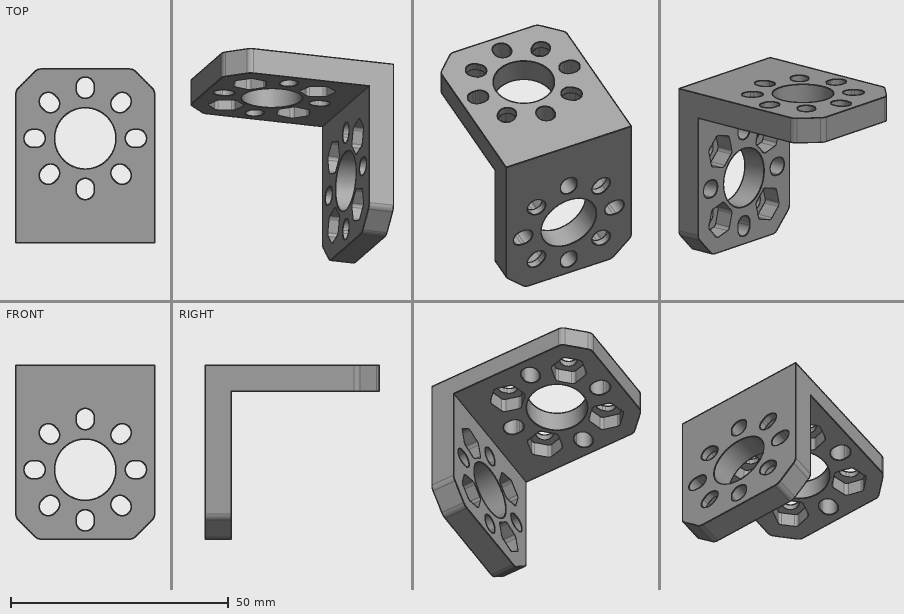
import cadquery as cq
import math

width = 32.0
leg_length = 40.0
thickness = 6.0
edge_break = 0.1

corner_cut = 5.0
corner_radius = 2.0

bore_diameter = 14.0
bore_edge_distance = width / 2
slot_circle_radius = 11.65
slot_count = 8
slot_spacing = 360 / slot_count
slot_width = 4.1
slot_length = 4.8

nut_across_flats = 7.4
half_side_angle = 30
nut_corner_diameter = nut_across_flats / math.cos(math.radians(half_side_angle))
nut_corner_radius = 1.0
nut_pocket_depth = 4.2

bore_y = leg_length - bore_edge_distance
hole_base = cq.Workplane("XY", origin=(0, bore_y, -thickness))


def leg_blank():
    """Plate with two clipped corners at the free end, rounded where the cuts meet the sides."""
    half_width = width / 2
    end_half_width = half_width - corner_cut
    straight_length = leg_length - corner_cut
    corners = [
        (-half_width, 0),
        (half_width, 0),
        (half_width, straight_length),
        (end_half_width, leg_length),
        (-end_half_width, leg_length),
        (-half_width, straight_length),
    ]
    base = cq.Workplane("XY", origin=(0, 0, -thickness))
    blank = base.polyline(corners).close().extrude(thickness)
    return blank.edges("|Z and (not <Y)").fillet(corner_radius)


def leg_openings():
    """Bore and ring of radially aligned through slots."""
    bore = hole_base.circle(bore_diameter / 2).extrude(thickness)
    slots = hole_base.polarArray(slot_circle_radius, 0, 360, slot_count).slot2D(slot_length, slot_width)
    return bore.union(slots.extrude(thickness))


def nut_pockets():
    """Round-cornered hexagons on the diagonals, two flats of each square to the radial direction."""
    hexagon = hole_base.polygon(6, nut_corner_diameter).extrude(nut_pocket_depth)
    nut = hexagon.edges("|Z").fillet(nut_corner_radius)
    bore_axis = ((0, bore_y, 0), (0, bore_y, 1))
    radial_nut = nut.rotate(*bore_axis, half_side_angle).translate((slot_circle_radius, 0, 0))
    return [radial_nut.rotate(*bore_axis, index * slot_spacing) for index in range(1, slot_count, 2)]


def as_upright_leg(shape):
    """Swap the +Y run for a -Z run, so the outer face turns from +Z to -Y."""
    return shape.rotate((0, 0, 0), (1, 0, 0), -90).mirror("XZ")


leg = leg_blank().cut(leg_openings())
bracket = leg.union(as_upright_leg(leg))

inside_corner = cq.selectors.NearestToPointSelector((0, thickness, -thickness))
not_inside_corner = cq.selectors.InverseSelector(inside_corner)
outer_rims = bracket.faces(">Z or <Y").edges()
flat_inner_rims = bracket.faces("|Z").faces(">Z[-2]").edges(not_inside_corner)
upright_inner_rims = bracket.faces("|Y").faces("<Y[-2]").edges(not_inside_corner)
bracket = outer_rims.add(flat_inner_rims).add(upright_inner_rims).chamfer(edge_break)

for pocket in nut_pockets():
    bracket = bracket.cut(pocket).cut(as_upright_leg(pocket))

result = bracket.translate((0, -leg_length / 2, leg_length / 2))